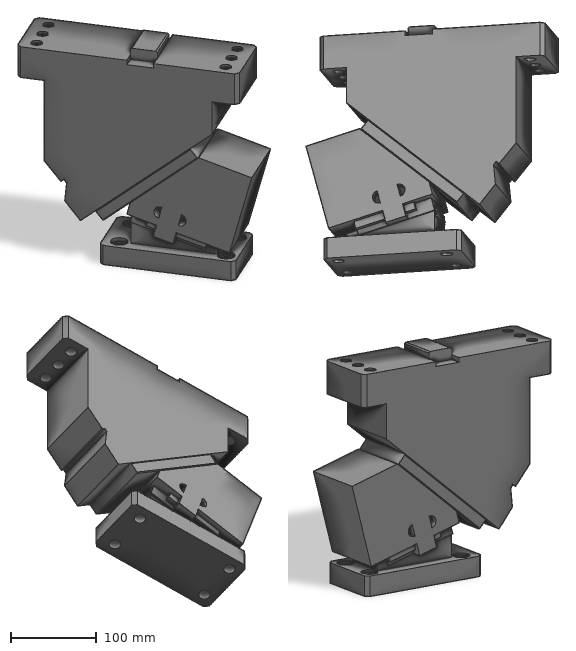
import cadquery as cq
import math


TOTAL_LENGTH = 286
TOTAL_HEIGHT = 279.0
WIDTH = 80
CORNER_CHAMFER = 5.0
GUIDE_ANGLE = math.radians(40)
RIDE_ANGLE = math.radians(15)

FLANGE_LENGTH = 270.0
FLANGE_TOP = 270.2
FLANGE_THICKNESS = 40
HOLDER_LEFT = 33.5
HOLDER_RIGHT = 237.3
HOLDER_LEFT_BOTTOM = 125.5
TIP_X = 77.5
TIP_Z = 53.5
NOTCH = [(53.8, 101.5), (57.5, 104.5), (60.5, 100.5), (58.3, 77.0)]
FLANGE_HOLE_DIAMETER = 13.2
FLANGE_HOLE_SPACING = 25.0
FLANGE_HOLE_INSET = 20

KEY_LEFT = 134.0
KEY_LENGTH = 32.5
KEY_WIDTH = 50.0
KEY_SLOT_DEPTH = 5.7
KEY_SLOT_FLOOR = FLANGE_TOP - KEY_SLOT_DEPTH
KEY_CHAMFER = 1.7

STRIP_START = 23.7
STRIP_LENGTH = 150.0
STRIP_THICKNESS = 15.0
STRIP_CHAMFER = 1.1

SLIDER_LENGTH = 129.2
SLIDER_HEIGHT = 105.0
SLIDER_CORNER_Z = 36.3
FOOT_RIGHT = -30.0
FOOT_LEFT = -104.5
FOOT_WIDTH = 68.0
FOOT_DEPTH = 9.0
SADDLE_LEFT = -124.7
SADDLE_WIDTH = 55.2
SADDLE_DEPTH = 15.5
TONGUE_WIDTH = 40
TONGUE_DEPTH = 21.0
TAB_CENTRE = -79.5
TAB_LENGTH = 25.0
TAB_LEFT = TAB_CENTRE - TAB_LENGTH / 2
TAB_RIGHT = TAB_CENTRE + TAB_LENGTH / 2
POCKET_RADIUS = 7.5
POCKET_HEIGHT = 17.5
POCKET_DEPTH = (WIDTH - SADDLE_WIDTH) / 2

BASE_LEFT = 100.5
BASE_LENGTH = 165.0
BASE_THICKNESS = 25.0
BLOCK_LEFT = 135.0
BLOCK_LENGTH = 105.2
BLOCK_WIDTH = 51.0
BOLT_LEFT_X = 120.5
BOLT_RIGHT_X = 250.5
BOLT_Y = 24.5
BOLT_DIAMETER = 13.5
COUNTERBORE_DIAMETER = 20
COUNTERBORE_DEPTH = 5.1

SLIDER_CORNER_X = TOTAL_LENGTH - SLIDER_HEIGHT * math.sin(RIDE_ANGLE)


def extrude_across(plane, points, width):
    """Solid with the given outline, centred on the middle plane."""
    return cq.Workplane(plane).polyline(points).close().extrude(width / 2, both=True)


def upright_plane(x, z, x_direction):
    """Vertical plane along the part with its first axis in the given (X, Z) direction."""
    return cq.Plane(origin=(x, 0, z), xDir=(x_direction[0], 0, x_direction[1]), normal=(0, -1, 0))


WORLD_PLANE = cq.Plane.named("XZ")
STRIP_PLANE = upright_plane(TIP_X, TIP_Z, (math.cos(GUIDE_ANGLE), math.sin(GUIDE_ANGLE)))
SLIDER_PLANE = upright_plane(SLIDER_CORNER_X, SLIDER_CORNER_Z, (math.cos(RIDE_ANGLE), -math.sin(RIDE_ANGLE)))


def slider_box(left, right, bottom, top, width):
    """Box in the slider's frame, centred on the middle plane."""
    return extrude_across(SLIDER_PLANE, [(left, bottom), (right, bottom), (right, top), (left, top)], width)


def tongue():
    """Guide tongue of the slider, reaching down from its underside into the base."""
    return slider_box(SADDLE_LEFT, FOOT_RIGHT, -TONGUE_DEPTH, 0, TONGUE_WIDTH)


def flange():
    """Mounting flange with a row of through holes near each end."""
    hole_columns = (FLANGE_HOLE_INSET, FLANGE_LENGTH - FLANGE_HOLE_INSET)
    holes = [(x, row * FLANGE_HOLE_SPACING) for x in hole_columns for row in (-1, 0, 1)]
    return (
        cq.Workplane("XY", origin=(0, 0, FLANGE_TOP - FLANGE_THICKNESS))
        .rect(FLANGE_LENGTH, WIDTH)
        .extrude(FLANGE_THICKNESS)
        .edges("|Z")
        .chamfer(CORNER_CHAMFER)
        .translate((FLANGE_LENGTH / 2, 0, 0))
        .cut(
            cq.Workplane("XY", origin=(0, 0, FLANGE_TOP))
            .pushPoints(holes)
            .circle(FLANGE_HOLE_DIAMETER / 2)
            .extrude(-FLANGE_THICKNESS)
        )
    )


def holder_web():
    """Upright body of the holder, its underside running along the guide slope."""
    guide_end_z = TIP_Z + (HOLDER_RIGHT - TIP_X) * math.tan(GUIDE_ANGLE)
    outline = [
        (HOLDER_LEFT, FLANGE_TOP),
        (HOLDER_LEFT, HOLDER_LEFT_BOTTOM),
        *NOTCH,
        (TIP_X, TIP_Z),
        (HOLDER_RIGHT, guide_end_z),
        (HOLDER_RIGHT, FLANGE_TOP),
    ]
    return extrude_across(WORLD_PLANE, outline, WIDTH)


def key_slot():
    """Slot across the full width of the flange."""
    slot = cq.Workplane("XY").box(KEY_LENGTH, WIDTH, KEY_SLOT_DEPTH, centered=(False, True, False))
    return slot.translate((KEY_LEFT, 0, KEY_SLOT_FLOOR))


def key():
    """Key standing in the slot and rising above the flange."""
    return (
        cq.Workplane("XY")
        .box(KEY_LENGTH, KEY_WIDTH, TOTAL_HEIGHT - KEY_SLOT_FLOOR, centered=(False, True, False))
        .edges(">Z and |Y")
        .chamfer(KEY_CHAMFER)
        .translate((KEY_LEFT, 0, KEY_SLOT_FLOOR))
    )


def guide_strip():
    """Strip flush with the holder sides, its four long edges chamfered."""
    return (
        cq.Workplane("XY")
        .box(STRIP_LENGTH, WIDTH, STRIP_THICKNESS, centered=(False, True, False))
        .edges("|X")
        .chamfer(STRIP_CHAMFER)
        .translate((STRIP_START, 0, -STRIP_THICKNESS))
        .rotate((0, 0, 0), (0, 1, 0), -math.degrees(GUIDE_ANGLE))
        .translate((TIP_X, 0, TIP_Z))
    )


holder = holder_web().union(flange()).cut(key_slot()).union(key()).union(guide_strip())


def slider_head():
    """Five-sided block whose sloping side lies on the guide strip."""
    strip_face = SLIDER_PLANE.toLocalCoords(STRIP_PLANE.toWorldCoords((0, -STRIP_THICKNESS)))
    slope = math.tan(GUIDE_ANGLE + RIDE_ANGLE)
    left_side_height = strip_face.y + (-SLIDER_LENGTH - strip_face.x) * slope
    top_side_left_end = strip_face.x + (SLIDER_HEIGHT - strip_face.y) / slope
    outline = [
        (0, 0),
        (0, SLIDER_HEIGHT),
        (top_side_left_end, SLIDER_HEIGHT),
        (-SLIDER_LENGTH, left_side_height),
        (-SLIDER_LENGTH, 0),
    ]
    return extrude_across(SLIDER_PLANE, outline, WIDTH)


def saddle():
    """Part that straddles the top of the base block."""
    body = slider_box(SADDLE_LEFT, FOOT_RIGHT, -SADDLE_DEPTH, 0, SADDLE_WIDTH)
    return body.cut(slider_box(SADDLE_LEFT, FOOT_RIGHT, -SADDLE_DEPTH, -FOOT_DEPTH, BLOCK_WIDTH))


def side_tabs():
    """Tabs hanging from both sides of the slider, outside the saddle."""
    bar = slider_box(TAB_LEFT, TAB_RIGHT, -SADDLE_DEPTH, 0, WIDTH)
    return bar.cut(slider_box(TAB_LEFT, TAB_RIGHT, -SADDLE_DEPTH, 0, SADDLE_WIDTH))


def side_pockets():
    """Half-round pockets facing away from each other above both tabs."""
    inner_width = WIDTH - 2 * POCKET_DEPTH
    centres = [(TAB_LEFT, POCKET_HEIGHT), (TAB_RIGHT, POCKET_HEIGHT)]
    bores = cq.Workplane(SLIDER_PLANE).pushPoints(centres).circle(POCKET_RADIUS).extrude(WIDTH / 2, both=True)
    between_pockets = slider_box(TAB_LEFT, TAB_RIGHT, 0, SLIDER_HEIGHT, WIDTH)
    solid_core = slider_box(-SLIDER_LENGTH, 0, 0, SLIDER_HEIGHT, inner_width)
    return bores.cut(between_pockets).cut(solid_core)


slider = (
    slider_head()
    .union(slider_box(FOOT_LEFT, FOOT_RIGHT, -FOOT_DEPTH, 0, FOOT_WIDTH))
    .union(saddle())
    .union(side_tabs())
    .union(tongue())
    .cut(side_pockets())
)


def base_plate():
    """Plate with chamfered corners."""
    return (
        cq.Workplane("XY")
        .box(BASE_LENGTH, WIDTH, BASE_THICKNESS, centered=(False, True, False))
        .edges("|Z")
        .chamfer(CORNER_CHAMFER)
        .translate((BASE_LEFT, 0, 0))
    )


def ride_height(x):
    """Height of the sloping ride surface at the given X."""
    fall = math.tan(RIDE_ANGLE)
    return SLIDER_CORNER_Z - FOOT_DEPTH / math.cos(RIDE_ANGLE) - (x - SLIDER_CORNER_X) * fall


def base_block():
    """Block on the plate, topped by the sloping ride surface."""
    right = BLOCK_LEFT + BLOCK_LENGTH
    outline = [
        (BLOCK_LEFT, 0),
        (right, 0),
        (right, ride_height(right)),
        (BLOCK_LEFT, ride_height(BLOCK_LEFT)),
    ]
    return extrude_across(WORLD_PLANE, outline, BLOCK_WIDTH)


def bolt_holes():
    """Counterbored holes; the right pair lies just past the block."""
    centres = [(x, y) for x in (BOLT_LEFT_X, BOLT_RIGHT_X) for y in (-BOLT_Y, BOLT_Y)]
    shanks = cq.Workplane("XY").pushPoints(centres).circle(BOLT_DIAMETER / 2).extrude(BASE_THICKNESS)
    floor = BASE_THICKNESS - COUNTERBORE_DEPTH
    heads = (
        cq.Workplane("XY", origin=(0, 0, floor))
        .pushPoints(centres)
        .circle(COUNTERBORE_DIAMETER / 2)
        .extrude(COUNTERBORE_DEPTH)
    )
    return shanks.union(heads)


base = base_plate().union(base_block()).cut(bolt_holes()).cut(tongue())

result = cq.Compound.makeCompound([holder.solids().val(), slider.solids().val(), base.solids().val()])